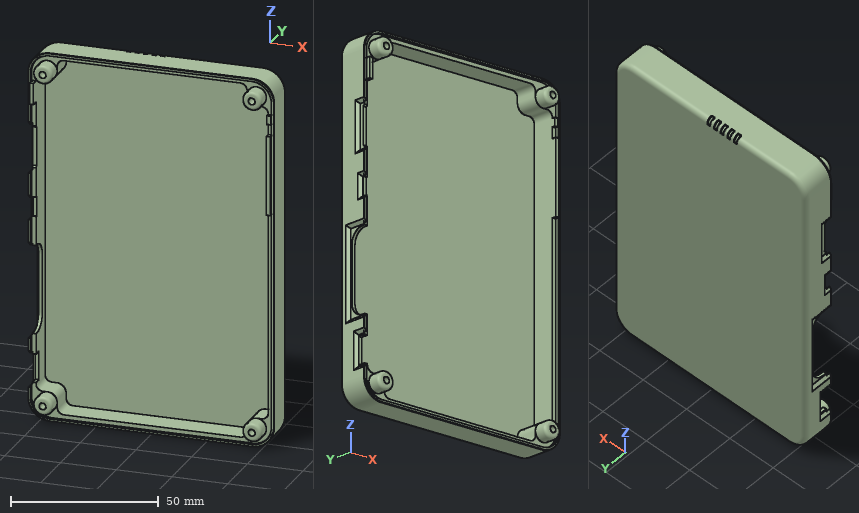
import cadquery as cq
import math

WIDTH = 88.5
HEIGHT = 133.4
DEPTH = 13.0
CORNER_RADIUS = 8.0
BACK_FILLET = 2.1
RIM_BEVEL_DEPTH = 0.4
RIM_BEVEL_INSET = 0.1
WALL = 2.5
FLOOR = 2.4

RIM_WIDTH = 1.0
LEDGE_DEPTH = 1.3

PIN_DIAMETER = 7.0
PIN_HOLE = 2.4
PIN_INSET = 6.7
PIN_PROTRUSION = 3.7
PIN_TIP_FILLET = 1.2
POST_FILLET = 2.4

POCKET_DEPTH = 1.2
POCKET_MARGIN = 1.3
PORTS = [
    dict(z_low=22.0, z_high=41.2, depth=4.8, lip=1.5, corner_chamfer=1.3),
    dict(z_low=5.1, z_high=14.7, depth=3.5, lip=0.3),
    dict(z_low=-37.8, z_high=-2.4, depth=9.6, lip=0.5, side_lip=0.4, corner_radius=5.3),
    dict(z_low=-55.6, z_high=-41.6, depth=5.6, side_lip=0.5),
]

TAB_INSET = 1.2
TABS = [
    dict(side=-1, z_low=47.9, z_high=55.6, protrusion=1.3),
    dict(side=1, z_low=18.1, z_high=46.7, protrusion=0.5),
    dict(side=1, z_low=50.8, z_high=54.0, protrusion=0.0),
]

NOTCH_COUNT = 5
NOTCH_WIDTH = 1.3
NOTCH_PITCH = 3.1
NOTCH_CENTER_X = -5.6
NOTCH_REACH = 2.4
NOTCH_DEPTH = 0.4

TOLERANCE = 0.01

half_width = WIDTH / 2
half_height = HEIGHT / 2
pin_radius = PIN_DIAMETER / 2
pin_x = half_width - PIN_INSET
pin_z = half_height - PIN_INSET
cavity_x = half_width - WALL
cavity_z = half_height - WALL
post_x = pin_x - pin_radius
post_z = pin_z - pin_radius
corner_signs = [(sx, sz) for sx in (-1, 1) for sz in (-1, 1)]


def box(x_range, y_range, z_range):
    """Axis-aligned block between the given limits."""
    (x0, x1), (y0, y1), (z0, z1) = x_range, y_range, z_range
    return cq.Workplane("XY").box(x1 - x0, y1 - y0, z1 - z0, centered=False).translate((x0, y0, z0))


def make_shell_block():
    """Rounded plate with a filleted back edge and a lightly bevelled rim."""
    block = box((-half_width, half_width), (RIM_BEVEL_DEPTH, DEPTH), (-half_height, half_height))
    block = block.edges("|Y").fillet(CORNER_RADIUS).faces(">Y").edges().fillet(BACK_FILLET)
    bevel_angle = math.degrees(math.atan(RIM_BEVEL_INSET / RIM_BEVEL_DEPTH))
    rim_face = block.faces("<Y").wires().toPending()
    return rim_face.workplane().extrude(RIM_BEVEL_DEPTH, taper=bevel_angle)


def make_ledge_recess():
    """Shallow recess that leaves a thin rim standing around the shell."""
    x = half_width - RIM_WIDTH
    z = half_height - RIM_WIDTH
    recess = box((-x, x), (0, LEDGE_DEPTH), (-z, z))
    return recess.edges("|Y").fillet(CORNER_RADIUS - RIM_WIDTH)


def upright_edges_at(body, points):
    """Edges of the body that run along Y through the given (x, z) points."""
    return body.edges("|Y").filter(
        lambda edge: any(math.hypot(edge.Center().x - x, edge.Center().z - z) < TOLERANCE for x, z in points)
    )


def make_cavity():
    """Main pocket, with a rounded post left standing in each corner."""
    cavity = box((-cavity_x, cavity_x), (0, DEPTH - FLOOR), (-cavity_z, cavity_z))
    for sx, sz in corner_signs:
        x_range = sorted((sx * post_x, sx * half_width))
        z_range = sorted((sz * post_z, sz * half_height))
        cavity = cavity.cut(box(x_range, (0, DEPTH), z_range))
    post_edges = [(sx * post_x, sz * post_z) for sx, sz in corner_signs]
    cavity = upright_edges_at(cavity, post_edges).fillet(pin_radius)
    end_joints = [(sx * post_x, sz * cavity_z) for sx, sz in corner_signs]
    side_joints = [(sx * cavity_x, sz * post_z) for sx, sz in corner_signs if (sx, sz) != (-1, 1)]
    return upright_edges_at(cavity, end_joints + side_joints).fillet(POST_FILLET)


def make_port(z_low, z_high, depth, lip=0.0, side_lip=0.0, corner_radius=0.0, corner_chamfer=0.0):
    """Flared pocket in the -X face, open at the rim, and the opening behind it."""
    z_mid = (z_low + z_high) / 2
    z_size = z_high - z_low
    flare = math.degrees(math.atan(POCKET_MARGIN / POCKET_DEPTH))
    pocket = (
        cq.Workplane("YZ", origin=(-half_width, 0, z_mid))
        .rect(2 * depth, z_size)
        .extrude(POCKET_DEPTH, taper=flare)
    )
    opening_depth = depth - POCKET_MARGIN - lip
    z_half = z_size / 2 - POCKET_MARGIN - side_lip
    opening = box((-half_width, -cavity_x), (-opening_depth, opening_depth), (z_mid - z_half, z_mid + z_half))
    if corner_radius:
        opening = opening.edges("|X").fillet(corner_radius)
    if corner_chamfer:
        opening = opening.edges("|X").chamfer(corner_chamfer)
    return pocket.union(opening)


def make_notch(x_mid):
    """Groove that follows the filleted upper back edge at a constant depth."""
    axis_inset = BACK_FILLET + NOTCH_DEPTH
    x_range = (x_mid - NOTCH_WIDTH / 2, x_mid + NOTCH_WIDTH / 2)
    corner = box(x_range, (DEPTH - NOTCH_REACH, DEPTH), (half_height - NOTCH_REACH, half_height))
    core = (
        cq.Workplane("YZ", origin=(x_range[0], DEPTH - axis_inset, half_height - axis_inset))
        .circle(BACK_FILLET)
        .extrude(NOTCH_WIDTH)
    )
    return corner.cut(core)


def make_tab(side, z_low, z_high, protrusion):
    """Bar on the ledge of one side wall, flush with the cavity; side is -1 or +1."""
    x_range = sorted((side * cavity_x, side * (half_width - TAB_INSET)))
    return box(x_range, (-protrusion, LEDGE_DEPTH), (z_low, z_high))


def make_housing():
    body = make_shell_block().cut(make_ledge_recess()).cut(make_cavity())
    for port in PORTS:
        body = body.cut(make_port(**port))
    for i in range(NOTCH_COUNT):
        offset = (i - (NOTCH_COUNT - 1) / 2) * NOTCH_PITCH
        body = body.cut(make_notch(NOTCH_CENTER_X + offset))
    for tab in TABS:
        body = body.union(make_tab(**tab))
    return body


def make_pin(x, z):
    """Hollow pin standing on a corner post, with a rounded tip."""
    length = LEDGE_DEPTH + PIN_PROTRUSION
    pin = cq.Workplane("XZ", origin=(x, LEDGE_DEPTH, z)).circle(pin_radius).extrude(length)
    pin = pin.faces("<Y").edges().fillet(PIN_TIP_FILLET)
    hole = cq.Workplane("XZ", origin=(x, LEDGE_DEPTH, z)).circle(PIN_HOLE / 2).extrude(length)
    return pin.cut(hole)


housing = make_housing()
pins = [make_pin(sx * pin_x, sz * pin_z) for sx, sz in corner_signs]

result = cq.Compound.makeCompound([housing.val(), *[pin.val() for pin in pins]])